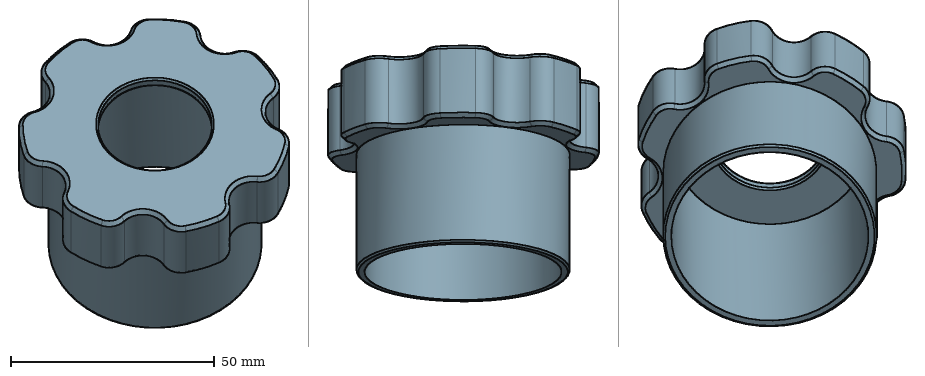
import cadquery as cq

total_height = 48.5
sleeve_height = 30.0
grip_height = total_height - sleeve_height

lobe_count = 7
grip_radius = 33.5
notch_radius = 6.0
notch_angle = 90.0
lobe_corner_radius = 5.0
grip_chamfer = 1.0

sleeve_diameter = 52.5
cavity_diameter = 48.5
sleeve_chamfer = 0.5

plate_thickness = 3.0
hole_diameter = 28.0
hole_chamfer = 0.5


def make_grip():
    """Disc with scalloped notches centred on its rim, rounded lobes and chamfered faces."""
    disc = cq.Workplane("XY").workplane(offset=sleeve_height).circle(grip_radius).extrude(grip_height)
    notches = (
        cq.Workplane("XY")
        .workplane(offset=sleeve_height)
        .polarArray(grip_radius, notch_angle, 360, lobe_count)
        .circle(notch_radius)
        .extrude(grip_height)
    )
    lobes = disc.cut(notches).edges("|Z").fillet(lobe_corner_radius)
    return lobes.faces("<Z or >Z").chamfer(grip_chamfer)


def make_sleeve():
    """Plain cylinder with a chamfered bottom rim."""
    sleeve = cq.Workplane("XY").circle(sleeve_diameter / 2).extrude(sleeve_height)
    return sleeve.faces("<Z").edges().chamfer(sleeve_chamfer)


def make_cavity():
    """Wide bore, open at the bottom and ending under the top plate."""
    return cq.Workplane("XY").circle(cavity_diameter / 2).extrude(total_height - plate_thickness)


def make_hole():
    """Central hole through the top plate, flared at both ends."""
    hole_radius = hole_diameter / 2
    flare_radius = hole_radius + hole_chamfer
    plate_bottom = total_height - plate_thickness
    return (
        cq.Workplane("XZ")
        .moveTo(0, plate_bottom)
        .lineTo(flare_radius, plate_bottom)
        .lineTo(hole_radius, plate_bottom + hole_chamfer)
        .lineTo(hole_radius, total_height - hole_chamfer)
        .lineTo(flare_radius, total_height)
        .lineTo(0, total_height)
        .close()
        .revolve(360, (0, 0), (0, 1))
    )


result = make_grip().union(make_sleeve()).cut(make_cavity()).cut(make_hole())